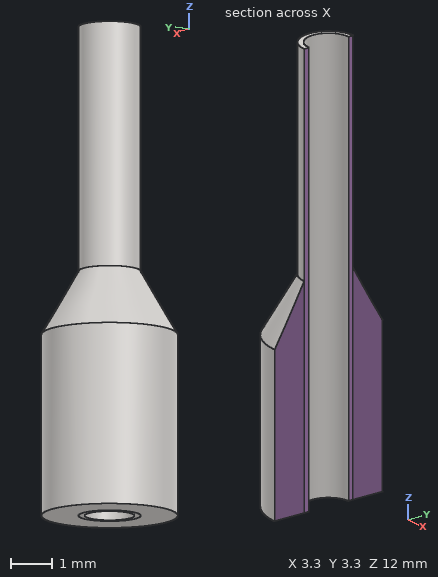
import cadquery as cq
import math

total_length = 12.0
tube_outer_diameter = 1.5
tube_bore_diameter = 1.2
collar_diameter = 3.3
collar_height = 6.0
cone_slope_angle = 60.0

tube_radius = tube_outer_diameter / 2
collar_radius = collar_diameter / 2
cone_height = (collar_radius - tube_radius) * math.tan(math.radians(cone_slope_angle))
sleeve_height = collar_height - cone_height


def make_tube():
    """Thin straight tube, open at both ends, running the full length."""
    return (
        cq.Workplane("XY")
        .circle(tube_radius)
        .circle(tube_bore_diameter / 2)
        .extrude(total_length)
    )


def make_collar():
    """Insulating sleeve around the tube, tapering to the tube surface at its top."""
    return (
        cq.Workplane("XZ")
        .moveTo(tube_radius, 0)
        .lineTo(collar_radius, 0)
        .lineTo(collar_radius, sleeve_height)
        .lineTo(tube_radius, collar_height)
        .close()
        .revolve(360, (0, 0, 0), (0, 1, 0))
    )


tube = make_tube()
collar = make_collar()

result = cq.Compound.makeCompound([tube.val(), collar.val()])